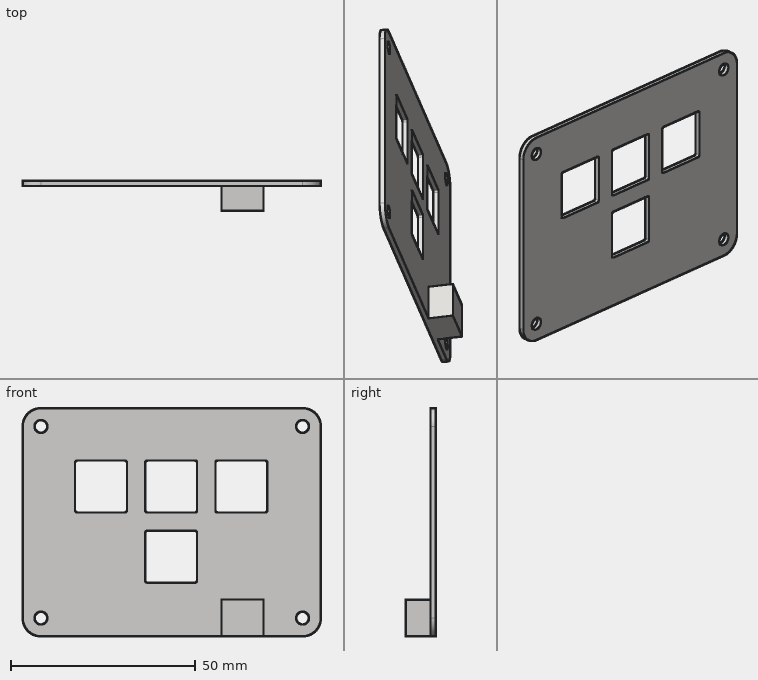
import cadquery as cq

plate_width = 81.0
plate_height = 62.0
plate_thickness = 1.5
corner_radius = 5.0

hole_diameter = 3.4
hole_spacing_x = plate_width - 2 * corner_radius
hole_spacing_z = plate_height - 2 * corner_radius

window_size = 14.0
window_corner_radius = 0.5
window_pitch = 19.05
window_center_x = -0.15
window_row_z = 9.7

block_width = 11.4
block_height = 10.0
block_depth = 6.75
block_center_x = 19.2


def make_plate():
    """Rounded rectangular plate reaching from Y = 0 back to +Y."""
    return (
        cq.Workplane("XZ")
        .rect(plate_width, plate_height)
        .extrude(-plate_thickness)
        .edges("|Y")
        .fillet(corner_radius)
    )


def make_mounting_holes():
    """Four through-hole cutters, one near each corner."""
    return (
        cq.Workplane("XZ")
        .rect(hole_spacing_x, hole_spacing_z, forConstruction=True)
        .vertices()
        .circle(hole_diameter / 2)
        .extrude(-plate_thickness)
    )


def make_key_windows():
    """Through-cutters for the square windows, with slightly rounded corners."""
    row_centers = [
        (window_center_x + column * window_pitch, window_row_z)
        for column in (-1, 0, 1)
    ]
    lower_center = (window_center_x, window_row_z - window_pitch)
    return (
        cq.Workplane("XZ")
        .pushPoints(row_centers + [lower_center])
        .rect(window_size, window_size)
        .extrude(-plate_thickness)
        .edges("|Y")
        .fillet(window_corner_radius)
    )


def make_block():
    """Rectangular block standing out from the front face toward -Y."""
    block_center_z = (block_height - plate_height) / 2
    return (
        cq.Workplane("XZ")
        .center(block_center_x, block_center_z)
        .rect(block_width, block_height)
        .extrude(block_depth)
    )


result = make_plate().cut(make_mounting_holes()).cut(make_key_windows()).union(make_block())